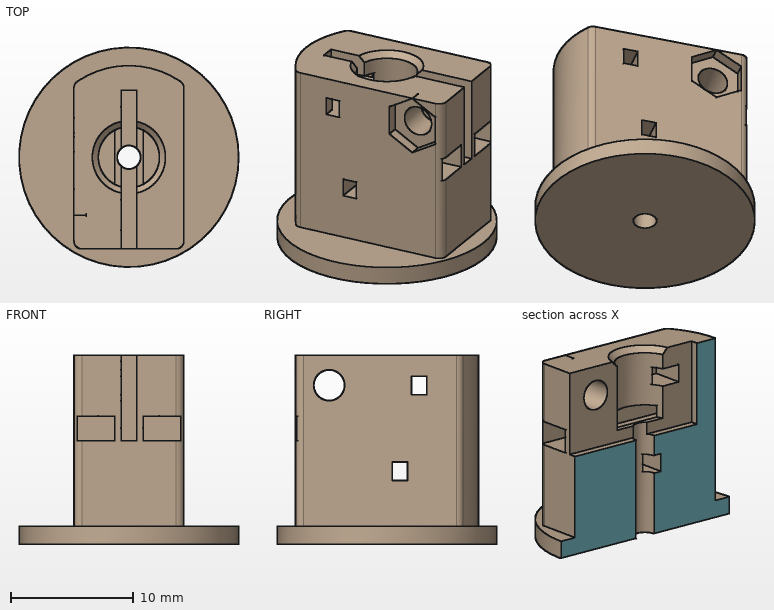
import cadquery as cq
import math

flange_diameter = 18
flange_height = 1.5

total_height = 15.5
body_width = 9
body_radius = 7.5
corner_radius = 0.65

socket_diameter = 5.0
socket_depth = 6.0
mouth_diameter = 6.0
mouth_depth = 0.5
axis_hole_diameter = 1.9

slot_width = 1.26
slot_depth = 7.0
slot_end_y = 5.5
pocket_inner_x = 1.17
pocket_outer_x = 4.23
pocket_height = 2.0

screw_diameter = 2.5
screw_y = -4.73
screw_drop = 2.47
nut_across_flats = 4.25
nut_depth = 1.0

window_width = 1.22
window_height = 1.5
window_places = [(2.63, 2.48), (1.06, 9.5)]

chamber_length_y = 2.12
chamber_wall = 1.0

half_width = body_width / 2
front_y = -body_radius
shoulder_y = math.sqrt(body_radius**2 - half_width**2)
slot_floor_z = total_height - slot_depth


def block(x_range, y_range, z_range):
    """Box spanning the given (low, high) ranges."""
    lows, highs = zip(x_range, y_range, z_range)
    sizes = [high - low for low, high in zip(lows, highs)]
    return cq.Workplane("XY").box(*sizes, centered=False).translate(lows)


def side_workplane(y, drop):
    """Plane on the -X side, facing +X, centred at y and a drop below the top."""
    return cq.Workplane("YZ", origin=(-half_width, y, total_height - drop))


def make_body():
    return (
        cq.Workplane("XY")
        .moveTo(-half_width, front_y)
        .lineTo(half_width, front_y)
        .lineTo(half_width, shoulder_y)
        .threePointArc((0, body_radius), (-half_width, shoulder_y))
        .close()
        .extrude(total_height)
        .edges("|Z")
        .fillet(corner_radius)
    )


def make_socket():
    """Stepped round cutter along the vertical axis, with a conical mouth."""
    socket_floor_z = total_height - socket_depth
    mouth_floor_z = total_height - mouth_depth
    return (
        cq.Workplane("XZ")
        .moveTo(0, 0)
        .lineTo(axis_hole_diameter / 2, 0)
        .lineTo(axis_hole_diameter / 2, socket_floor_z)
        .lineTo(socket_diameter / 2, socket_floor_z)
        .lineTo(socket_diameter / 2, mouth_floor_z)
        .lineTo(mouth_diameter / 2, total_height)
        .lineTo(0, total_height)
        .close()
        .revolve(360, (0, 0), (0, 1))
    )


def make_nut_recess():
    """Hexagonal cutter with one corner pointing straight up."""
    across_corners = nut_across_flats / math.cos(math.pi / 6)
    return (
        side_workplane(screw_y, screw_drop)
        .transformed(rotate=(0, 0, 90))
        .polygon(6, across_corners)
        .extrude(nut_depth)
    )


flange = cq.Workplane("XY").circle(flange_diameter / 2).extrude(flange_height)
result = flange.union(make_body())

result = result.cut(make_socket())
slot_y_range = (front_y, slot_end_y)
result = result.cut(
    block((-slot_width / 2, slot_width / 2), slot_y_range, (slot_floor_z, total_height))
)
right_pocket = block(
    (pocket_inner_x, pocket_outer_x), slot_y_range, (slot_floor_z, slot_floor_z + pocket_height)
)
result = result.cut(right_pocket).cut(right_pocket.mirror("YZ"))

screw_hole = side_workplane(screw_y, screw_drop).circle(screw_diameter / 2).extrude(body_width)
result = result.cut(screw_hole).cut(make_nut_recess())

for window_y, window_drop in window_places:
    window = side_workplane(window_y, window_drop).rect(window_width, window_height).extrude(body_width)
    result = result.cut(window)

upper_y, upper_drop = window_places[0]
chamber_start_y = upper_y - window_width / 2
chamber_floor_z = total_height - upper_drop - window_height / 2
chamber_half_width = half_width - chamber_wall
chamber = block(
    (-chamber_half_width, chamber_half_width),
    (chamber_start_y, chamber_start_y + chamber_length_y),
    (chamber_floor_z, chamber_floor_z + window_height),
)
result = result.cut(chamber)